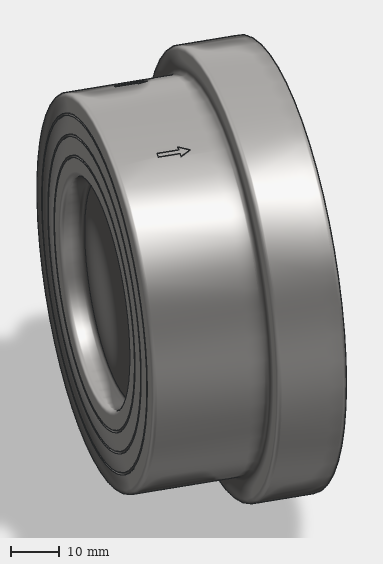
import cadquery as cq

flange_diameter = 95.8
flange_thickness = 15.0
body_diameter = 84.0
body_length = 40.05
edge_radius = 1.0

recess_diameter = 49.0
recess_depth = 5.0

groove_width = 0.5
groove_depth = 0.5
inner_groove_diameter = 57.5
groove_diameter_step = 8.8
groove_count = 3

poppet_diameter = recess_diameter - 2 * edge_radius
poppet_thickness = 4.8
stem_diameter = 10.25
stem_hole_diameter = 10.5
stem_projection = 0.3

arrow_length = 7.0
arrow_head_length = 2.3
arrow_head_width = 2.5
arrow_shaft_width = 1.0
arrow_height = 0.1
arrow_start = 9.8
arrow_spacing = 30.5
arrow_pair_x = -2.6

inlet_y = -(body_length + stem_projection) / 2
outlet_y = inlet_y + body_length
seat_y = inlet_y + recess_depth


def cylinder(diameter, start_y, length):
    """Cylinder on the Y axis, running from start_y towards +Y."""
    plane = cq.Workplane("XZ", origin=(0, start_y, 0))
    return plane.circle(diameter / 2).extrude(-length)


def make_flanged_body():
    """Solid body with its flange at the outlet end, all corners rounded."""
    body = cylinder(body_diameter, inlet_y, body_length)
    flange = cylinder(flange_diameter, outlet_y - flange_thickness, flange_thickness)
    return body.union(flange).edges("%CIRCLE").fillet(edge_radius)


def cut_recess(housing):
    """Inlet recess with a rounded mouth and a rounded bottom corner."""
    recess = cylinder(recess_diameter, inlet_y, recess_depth)
    recess = recess.faces(">Y").edges().fillet(edge_radius)
    mouth = cq.selectors.RadiusNthSelector(0)
    return housing.cut(recess).faces("<Y").edges(mouth).fillet(edge_radius)


def make_groove(diameter):
    """Ring-shaped cutter for one sealing groove, given its mean diameter."""
    inner_x = (diameter - groove_width) / 2
    outer_x = (diameter + groove_width) / 2
    arc_start_y = inlet_y + groove_depth - groove_width / 2
    section = (
        cq.Workplane("XY")
        .moveTo(inner_x, inlet_y)
        .lineTo(inner_x, arc_start_y)
        .threePointArc((diameter / 2, inlet_y + groove_depth), (outer_x, arc_start_y))
        .lineTo(outer_x, inlet_y)
        .close()
    )
    return section.revolve(360, (0, 0, 0), (0, 1, 0))


def make_arrow(center_x):
    """Arrow pointing to the outlet, standing slightly proud of the round body."""
    start_y = inlet_y + arrow_start
    tip_y = start_y + arrow_length
    head_y = tip_y - arrow_head_length
    shaft_half = arrow_shaft_width / 2
    head_half = arrow_head_width / 2
    outline = [
        (center_x - shaft_half, start_y),
        (center_x - shaft_half, head_y),
        (center_x - head_half, head_y),
        (center_x, tip_y),
        (center_x + head_half, head_y),
        (center_x + shaft_half, head_y),
        (center_x + shaft_half, start_y),
    ]
    prism = cq.Workplane("XY").polyline(outline).close().extrude(body_diameter)
    outer = cylinder(body_diameter + 2 * arrow_height, start_y, arrow_length)
    inner = cylinder(body_diameter - 2 * arrow_height, start_y, arrow_length)
    return prism.intersect(outer.cut(inner))


def make_housing():
    housing = cut_recess(make_flanged_body())
    for index in range(groove_count):
        housing = housing.cut(make_groove(inner_groove_diameter + index * groove_diameter_step))
    for side in (-1, 1):
        housing = housing.union(make_arrow(arrow_pair_x + side * arrow_spacing / 2))
    poppet_seat = cylinder(poppet_diameter, seat_y, poppet_thickness)
    stem_hole = cylinder(stem_hole_diameter, seat_y, outlet_y - seat_y)
    return housing.cut(poppet_seat).cut(stem_hole)


def make_poppet():
    """Flat disc with a stem that ends just beyond the outlet face."""
    plate = cylinder(poppet_diameter, seat_y, poppet_thickness)
    stem = cylinder(stem_diameter, seat_y, outlet_y + stem_projection - seat_y)
    return plate.union(stem)


housing = make_housing()
poppet = make_poppet()

result = cq.Compound.makeCompound([housing.solids().val(), poppet.solids().val()])